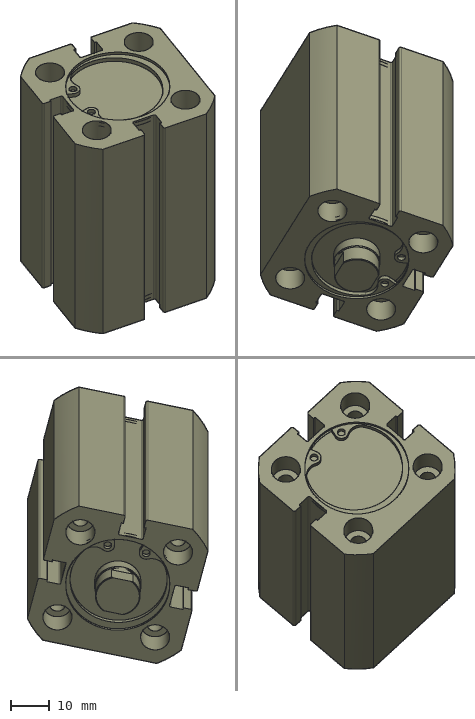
import cadquery as cq
import math


body_width = 41.0
body_height = 63.0
corner_diameter = 51.0
bore_diameter = 27.0

mount_spacing = 26.0
mount_diameter = 4.2
counterbore_diameter = 7.5
counterbore_depth = 7.0

ring_radius = 14.4
ring_thickness = 1.2
ring_inset = 0.75
ring_inner_radius = 12.6
ring_inner_offset = 1.0
lug_x = 5.13
lug_y = -10.42
lug_radius = 1.8
lug_hole_diameter = 2.0
lug_blend_radius = 3.6

slot_mouth_width = 5.5
slot_inner_width = 6.6
slot_lip_depth = 2.4
slot_floor_radius = 0.4
slot_mouth_rounding = 0.5
side_slot_wall = 0.1
front_slot_wall = 0.17
side_slot_floor = ring_radius + side_slot_wall
front_slot_floor = ring_radius + front_slot_wall

cap_thickness = 8.0
bush_length = 14.0
piston_length = 10.0

rod_diameter = 12.0
rod_tip_diameter = 11.6
rod_projection = 6.0
rod_collar_length = 1.0
rod_step_length = 0.3
rod_end_chamfer = 0.2
flats_width = 10.1
flats_run_out = (rod_diameter - flats_width) / 2

half_width = body_width / 2
end_offset = ring_inset + ring_thickness
upper_ring_z = body_height - end_offset
lower_ring_z = ring_inset
cap_bottom_z = upper_ring_z - cap_thickness


def cylinder(diameter, height, bottom_z):
    return cq.Workplane("XY").workplane(offset=bottom_z).circle(diameter / 2).extrude(height)


def make_slot(floor):
    """Full-height T-slot opening toward -Y, with its floor the given distance from the axis."""
    depth = half_width - floor
    height_centre = body_height / 2
    inner_depth = depth - slot_lip_depth
    inner = (
        cq.Workplane("XY")
        .box(slot_inner_width, inner_depth, body_height)
        .translate((0, -floor - inner_depth / 2, height_centre))
        .edges("|Z and >Y")
        .fillet(slot_floor_radius)
    )
    mouth = (
        cq.Workplane("XY")
        .box(slot_mouth_width, depth, body_height)
        .translate((0, -floor - depth / 2, height_centre))
    )
    half_mouth = slot_mouth_width / 2
    half_flare = half_mouth + slot_mouth_rounding
    rounding_top = -half_width + slot_mouth_rounding
    arc_inset = slot_mouth_rounding * (1 - math.sqrt(0.5))
    arc_x = half_mouth + arc_inset
    arc_y = -half_width + arc_inset
    flare = (
        cq.Workplane("XY")
        .moveTo(-half_flare, -half_width)
        .lineTo(half_flare, -half_width)
        .threePointArc((arc_x, arc_y), (half_mouth, rounding_top))
        .lineTo(-half_mouth, rounding_top)
        .threePointArc((-arc_x, arc_y), (-half_flare, -half_width))
        .close()
        .extrude(body_height)
    )
    return inner.union(mouth).union(flare)


def make_housing():
    square = cq.Workplane("XY").rect(body_width, body_width).extrude(body_height)
    body = square.intersect(cylinder(corner_diameter, body_height, 0))

    body = body.cut(cylinder(bore_diameter, body_height, 0))
    for ring_z in (lower_ring_z, upper_ring_z):
        body = body.cut(cylinder(2 * ring_radius, ring_thickness, ring_z))

    body = body.cut(make_slot(front_slot_floor))
    for angle in (-90, 90):
        slot = make_slot(side_slot_floor)
        body = body.cut(slot.rotate((0, 0, 0), (0, 0, 1), angle))

    for x_side in (-1, 1):
        for y_side in (-1, 1):
            centre = (x_side * mount_spacing / 2, y_side * mount_spacing / 2, 0)
            body = body.cut(cylinder(mount_diameter, body_height, 0).translate(centre))
            for bottom_z in (0, body_height - counterbore_depth):
                counterbore = cylinder(counterbore_diameter, counterbore_depth, bottom_z)
                body = body.cut(counterbore.translate(centre))
    return body


def toward(start, end, distance):
    """Point at a distance from start along the direction to end."""
    length = math.dist(start, end)
    return tuple(s + (e - s) * distance / length for s, e in zip(start, end))


def mirrored(point):
    return (-point[0], point[1])


def make_retaining_ring(bottom_z):
    """Internal circlip with its opening toward -Y and a drilled lug on each side of it."""
    inner_centre = (0, -ring_inner_offset)
    lug = (lug_x, lug_y)

    inner_reach = ring_inner_radius - lug_blend_radius
    lug_reach = lug_radius + lug_blend_radius
    spacing = math.dist(inner_centre, lug)
    along = (inner_reach**2 - lug_reach**2 + spacing**2) / (2 * spacing)
    across = math.sqrt(inner_reach**2 - along**2)
    unit_x = (lug[0] - inner_centre[0]) / spacing
    unit_y = (lug[1] - inner_centre[1]) / spacing
    blend = (
        inner_centre[0] + along * unit_x - across * unit_y,
        inner_centre[1] + along * unit_y + across * unit_x,
    )

    lug_distance = math.hypot(*lug)
    end_angle = math.atan2(lug_y, lug_x) - math.asin(lug_radius / lug_distance)
    tangent_distance = math.sqrt(lug_distance**2 - lug_radius**2)
    end_direction = (math.cos(end_angle), math.sin(end_angle))
    outer_end = tuple(ring_radius * c for c in end_direction)
    lug_start = tuple(tangent_distance * c for c in end_direction)

    lug_finish = toward(lug, blend, lug_radius)
    lug_middle = toward(lug, tuple((a + b) / 2 for a, b in zip(lug_start, lug_finish)), lug_radius)
    inner_start = toward(inner_centre, blend, ring_inner_radius)
    chord_middle = tuple((a + b) / 2 for a, b in zip(lug_finish, inner_start))
    blend_middle = toward(blend, chord_middle, lug_blend_radius)
    inner_top = (0, ring_inner_radius - ring_inner_offset)

    return (
        cq.Workplane("XY")
        .workplane(offset=bottom_z)
        .moveTo(*outer_end)
        .lineTo(*lug_start)
        .threePointArc(lug_middle, lug_finish)
        .threePointArc(blend_middle, inner_start)
        .threePointArc(inner_top, mirrored(inner_start))
        .threePointArc(mirrored(blend_middle), mirrored(lug_finish))
        .threePointArc(mirrored(lug_middle), mirrored(lug_start))
        .lineTo(*mirrored(outer_end))
        .threePointArc((0, ring_radius), outer_end)
        .close()
        .pushPoints([lug, mirrored(lug)])
        .circle(lug_hole_diameter / 2)
        .extrude(ring_thickness)
    )


def make_end_cap():
    return cylinder(bore_diameter, cap_thickness, cap_bottom_z)


def make_rod_bush():
    bush = cylinder(bore_diameter, bush_length, end_offset)
    return bush.cut(cylinder(rod_diameter, bush_length, end_offset))


def make_piston_rod():
    """Rod and piston as a turned profile, with two wrench flats at the tip."""
    piston_bottom_z = cap_bottom_z - piston_length
    rod_radius = rod_diameter / 2
    tip_radius = rod_tip_diameter / 2
    rod = (
        cq.Workplane("XZ")
        .moveTo(0, -rod_projection)
        .lineTo(tip_radius - rod_end_chamfer, -rod_projection)
        .lineTo(tip_radius, -rod_projection + rod_end_chamfer)
        .lineTo(tip_radius, -rod_collar_length - rod_step_length)
        .lineTo(rod_radius, -rod_collar_length)
        .lineTo(rod_radius, piston_bottom_z)
        .lineTo(bore_diameter / 2, piston_bottom_z)
        .lineTo(bore_diameter / 2, cap_bottom_z)
        .lineTo(0, cap_bottom_z)
        .close()
        .revolve(360, (0, 0, 0), (0, 1, 0))
    )
    flat_cut = (
        cq.Workplane("YZ")
        .moveTo(flats_width / 2, -rod_projection)
        .lineTo(rod_radius, -rod_projection)
        .lineTo(rod_radius, -rod_collar_length)
        .lineTo(flats_width / 2, -rod_collar_length - flats_run_out)
        .close()
        .extrude(rod_radius, both=True)
    )
    return rod.cut(flat_cut).cut(flat_cut.mirror("XZ"))


housing = make_housing()
end_cap = make_end_cap()
rod_bush = make_rod_bush()
piston_rod = make_piston_rod()
retaining_rings = [make_retaining_ring(ring_z) for ring_z in (lower_ring_z, upper_ring_z)]

result = cq.Compound.makeCompound([
    housing.val(),
    end_cap.val(),
    rod_bush.val(),
    piston_rod.val(),
    *[ring.val() for ring in retaining_rings],
])